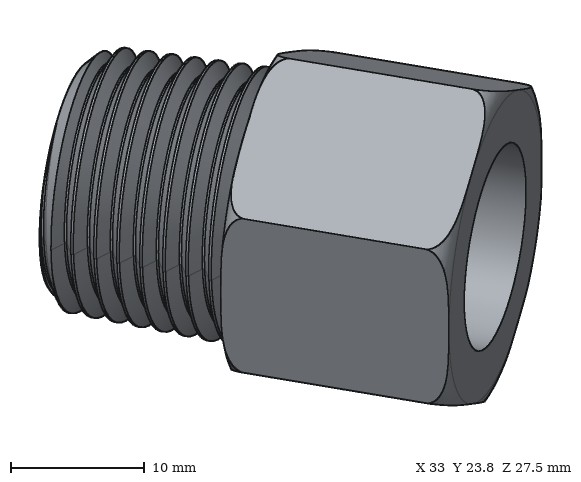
import cadquery as cq
import math

total_length = 32.95
hex_length = 17.8
stud_length = total_length - hex_length
bore_diameter = 15.8

hex_across_flats = 23.8
hex_corner_radius = hex_across_flats / math.sqrt(3)
hex_edge_radius = hex_corner_radius - hex_across_flats / 2

pitch = 25.4 / 14
thread_taper = 1 / 32
taper_angle = math.atan(thread_taper)
slant_pitch = pitch / math.cos(taper_angle)
core_radius = bore_diameter / 4
crest_radius_at_hex = 10.55
thread_depth = 1.25
crest_flat = 0.2
flank_angle = 30.0
thread_overrun = 1.5 * pitch
seam_crest_position = 13.89
chamfer_start_radius = 8.76


def thread_profile():
    """One pitch of the thread as (axial offset, height above the crest cone), crest to crest."""
    flank_length = thread_depth * math.tan(math.radians(flank_angle))
    root_flat = pitch - crest_flat - 2 * flank_length
    return [
        (0, 0),
        (crest_flat, 0),
        (crest_flat + flank_length, -thread_depth),
        (crest_flat + flank_length + root_flat, -thread_depth),
        (pitch, 0),
    ]


def ruled_strips(helices):
    """Faces joining each helix to the next one."""
    return [cq.Face.makeRuledSurface(first, second) for first, second in zip(helices, helices[1:])]


def make_threaded_rod():
    """Right-hand tapered screw around a hollow core, running past both stud ends.

    Each turn has its own faces, so that neighbouring turns share whole edges.
    """
    turns_before = math.ceil((seam_crest_position + thread_overrun) / pitch)
    turns = turns_before + math.ceil((stud_length + thread_overrun - seam_crest_position) / pitch)
    start = seam_crest_position - crest_flat / 2 - turns_before * pitch
    start_radius = crest_radius_at_hex - (stud_length - start) * thread_taper

    def turn_helix(turn, offset, surface_radius):
        """One turn of a conical helix about Z, starting on the +X side."""
        axial = turn * pitch + offset
        helix = cq.Wire.makeHelix(
            slant_pitch,
            slant_pitch,
            surface_radius + axial * thread_taper,
            angle=math.degrees(taper_angle),
        )
        return helix.translate(cq.Vector(0, 0, axial))

    faces = []
    for turn in range(turns):
        outer = [turn_helix(turn, offset, start_radius + height) for offset, height in thread_profile()]
        inner = [turn_helix(turn, offset, core_radius) for offset in (0, pitch)]
        faces += ruled_strips(outer) + ruled_strips(inner)
        if turn == 0:
            faces += ruled_strips([inner[0], outer[0]])
            faces.append(section_face([helix.startPoint() for helix in outer + inner[::-1]]))
        if turn == turns - 1:
            faces += ruled_strips([inner[-1], outer[-1]])
            faces.append(section_face([helix.endPoint() for helix in outer + inner[::-1]]))

    rod = cq.Solid.makeSolid(cq.Shell.makeShell(faces))
    return (
        cq.Workplane(rod)
        .rotate((0, 0, 0), (0, 0, 1), -90)
        .rotate((0, 0, 0), (0, 1, 0), 90)
        .translate((start, 0, 0))
    )


def section_face(points):
    """Flat face closing the screw at one end of the helix."""
    return cq.Face.makeFromWires(cq.Wire.makePolygon(points, close=True))


def make_stud_envelope():
    """Bored sleeve with a 45 degree lead chamfer, clear of the thread crests elsewhere."""
    bore_radius = bore_diameter / 2
    outer_radius = hex_across_flats / 2
    return (
        cq.Workplane("XY")
        .moveTo(0, bore_radius)
        .lineTo(0, chamfer_start_radius)
        .lineTo(outer_radius - chamfer_start_radius, outer_radius)
        .lineTo(stud_length, outer_radius)
        .lineTo(stud_length, bore_radius)
        .close()
        .revolve(360, (0, 0, 0), (1, 0, 0))
    )


def make_hex_head():
    """Bored hexagon with its corners rounded over at both end faces."""
    hexagon = (
        cq.Workplane("YZ", origin=(stud_length, 0, 0))
        .polygon(6, 2 * hex_corner_radius)
        .extrude(hex_length)
        .rotate((0, 0, 0), (1, 0, 0), 90)
    )
    rounded_disc = (
        cq.Workplane("YZ", origin=(stud_length, 0, 0))
        .circle(hex_corner_radius)
        .extrude(hex_length)
        .edges()
        .fillet(hex_edge_radius)
    )
    return hexagon.intersect(rounded_disc).faces(">X").workplane().hole(bore_diameter)


stud = make_threaded_rod().intersect(make_stud_envelope())
result = make_hex_head().union(stud)